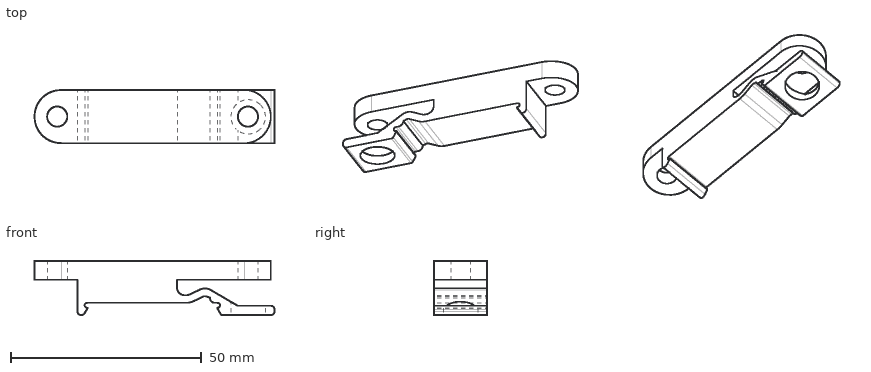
import cadquery as cq
import math

width = 14.0
total_height = 14.25
plate_length = 62.0
plate_thickness = 5.0
hole_spacing = 50.05
hole_diameter = 5.2
plate_middle = plate_length / 2
plate_underside = total_height - plate_thickness

body_left = 11.3
body_bottom = 3.2

arm_thickness = 2.1
body_right = 37.45
slot_radius = 1.95
valley_radius = 2.1
valley_center = (39.9, 7.4)
crest_center = (44.75, 4.05)
crest_radius = 3.0
slot_floor = valley_center[1] - valley_radius
slot_corner_center = (body_right + slot_radius, slot_floor + slot_radius)
valley_outer_radius = valley_center[1] - body_bottom
crest_inner_radius = crest_radius - arm_thickness

lever_end = 63
lever_thickness = 2.5
lever_knee = (53.3, lever_thickness)
lever_round = 1.0
lever_hole_diameter = 9.0
lever_hole_x = plate_middle + hole_spacing / 2

nose_angle = 60
notch_radius = 0.6
notch_bottom = body_bottom - 2 * notch_radius
tip_flat = 0.2
nose_top = notch_bottom - tip_flat
fixed_tip_x = 14.0
fixed_notch_x = 13.8
fixed_nose_radius = 1.0
moving_tip_x = 47.95
moving_notch_x = 48.1
moving_nose_radius = 0.55

bump_radius = 1.4
bump_center = (47.4, body_bottom + bump_radius)
crest_exit_angle = 65


def on_circle(center, radius, degrees):
    angle = math.radians(degrees)
    return (center[0] + radius * math.cos(angle), center[1] + radius * math.sin(angle))


def bend_slope():
    """Slope in degrees of the straight stretch tangent to both arm bends."""
    dx = crest_center[0] - valley_center[0]
    dz = crest_center[1] - valley_center[1]
    radius_sum = valley_radius + crest_radius
    return math.degrees(math.asin(radius_sum / math.hypot(dx, dz)) + math.atan2(dz, dx))


def ramp_normal():
    """Direction in degrees from the crest center to the start of the lever ramp."""
    dx = lever_knee[0] - crest_center[0]
    dz = lever_knee[1] - crest_center[1]
    return math.degrees(math.atan2(dz, dx) + math.acos(crest_radius / math.hypot(dx, dz)))


def add_arc(outline, center, radius, start, end):
    """Draw to the start of a circular stretch, then along it."""
    return outline.lineTo(*on_circle(center, radius, start)).threePointArc(
        on_circle(center, radius, (start + end) / 2), on_circle(center, radius, end)
    )


def make_plate():
    return (
        cq.Workplane("XY", origin=(plate_middle, 0, plate_underside))
        .slot2D(plate_length, width)
        .extrude(plate_thickness)
        .faces(">Z").workplane()
        .pushPoints([(-hole_spacing / 2, 0), (hole_spacing / 2, 0)])
        .hole(hole_diameter, plate_thickness)
    )


def make_clip():
    valley_exit = bend_slope() - 90
    crest_entry = bend_slope() + 90
    notch_z = body_bottom - notch_radius
    fixed_nose_center = (body_left + fixed_nose_radius, fixed_nose_radius)

    slope_foot_x = moving_tip_x + nose_top / math.tan(math.radians(nose_angle))
    nose_setback = moving_nose_radius * math.tan(math.radians(nose_angle / 2))
    moving_nose_center = (slope_foot_x + nose_setback, moving_nose_radius)

    outline = cq.Workplane("XZ", origin=(0, width / 2, 0)).moveTo(body_left, plate_underside)
    outline = outline.lineTo(body_right, plate_underside)
    outline = add_arc(outline, slot_corner_center, slot_radius, -180, -90)
    outline = add_arc(outline, valley_center, valley_radius, -90, valley_exit)
    outline = add_arc(outline, crest_center, crest_radius, crest_entry, ramp_normal())
    outline = outline.lineTo(*lever_knee)
    end_x = lever_end - lever_round
    outline = add_arc(outline, (end_x, lever_thickness - lever_round), lever_round, 90, 0)
    outline = add_arc(outline, (end_x, lever_round), lever_round, 0, -90)

    outline = add_arc(outline, moving_nose_center, moving_nose_radius, -90, -90 - nose_angle)
    outline = outline.lineTo(moving_tip_x, nose_top).lineTo(moving_tip_x, notch_bottom)
    outline = add_arc(outline, (moving_notch_x, notch_z), notch_radius, -90, 90)
    outline = add_arc(outline, bump_center, bump_radius, -90, -180)
    outline = add_arc(outline, crest_center, crest_inner_radius, crest_exit_angle, crest_entry)
    outline = add_arc(outline, valley_center, valley_outer_radius, valley_exit, -90)

    outline = add_arc(outline, (fixed_notch_x, notch_z), notch_radius, 90, 270)
    outline = outline.lineTo(fixed_tip_x, notch_bottom).lineTo(fixed_tip_x, nose_top)
    outline = add_arc(outline, fixed_nose_center, fixed_nose_radius, nose_angle - 90, -180)
    return outline.close().extrude(width)


def make_lever_hole():
    return (
        cq.Workplane("XY", origin=(lever_hole_x, 0, 0))
        .circle(lever_hole_diameter / 2)
        .extrude(plate_underside)
    )


result = make_plate().union(make_clip().cut(make_lever_hole()))